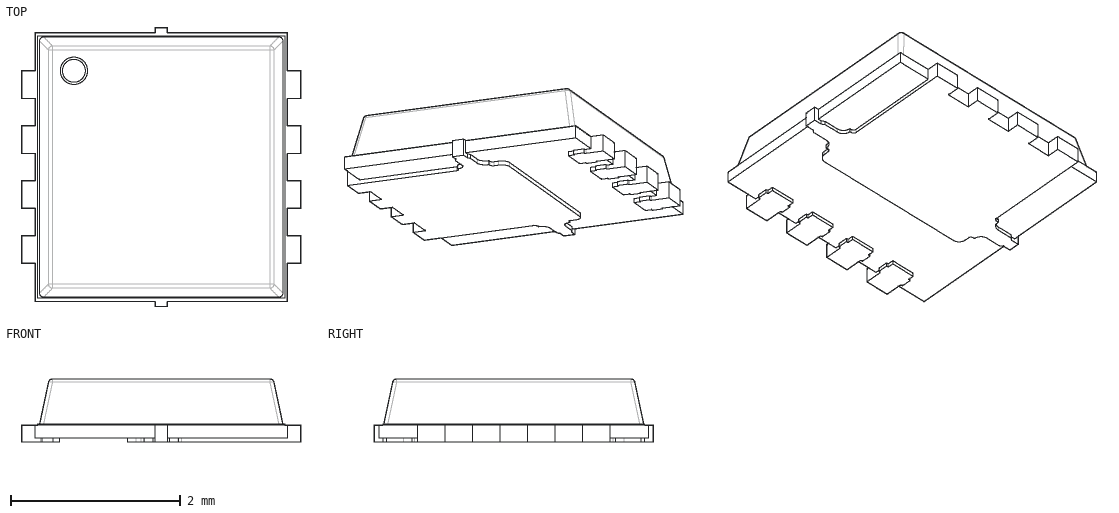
import cadquery as cq

OVERALL = 3.3
HEIGHT = 0.75
FRAME_TOP = 0.2
PAD_DROP = 0.05

SLAB_X = 2.983
SLAB_Y = 3.18

PLINTH_MARGIN_X = 0.03
PLINTH_MARGIN_Y = 0.043
PLINTH_HEIGHT = 0.013
CAP_MARGIN = 0.05
CAP_DRAFT = 12.0
CAP_ROUND = 0.05

DIMPLE_X = -1.033
DIMPLE_Y = 1.14
DIMPLE_RADIUS = 0.162
DIMPLE_FLOOR_RADIUS = 0.135
DIMPLE_DEPTH = 0.033

LEAD_COUNT = 4
LEAD_PITCH = 0.65
LEAD_WIDTH = 0.33
LEAD_INNER_END = -1.2
SHOULDER_START = -1.412
SHOULDER_END = -1.28
SHOULDER_STEP = 0.025
SHOULDER_ROUND = 0.013

PAD_LEFT = -0.4
PAD_CORNER_ROUND = 0.1
NECK_HALF_X = 0.205
NECK_STEP = 0.063
NECK_ROUND = 0.035
STEM_HALF_X = 0.1
STEM_ROUND = 0.1
STEM_END = 1.505
TIE_HALF_X = 0.073
TIE_START = 1.545

EDGE_REACH = 0.0015

lead_rows = [(i - (LEAD_COUNT - 1) / 2) * LEAD_PITCH for i in range(LEAD_COUNT)]
pad_half_y = lead_rows[-1] + LEAD_WIDTH / 2
neck_half_y = pad_half_y + NECK_STEP


def block(x_start, x_end, y_start, y_end, top):
    """Rectangular block standing on the seating plane."""
    size_x = x_end - x_start
    size_y = y_end - y_start
    return cq.Workplane("XY").box(size_x, size_y, top, centered=False).translate((x_start, y_start, 0))


def centred_plate(size_x, size_y, bottom, height, taper=0):
    """Rectangular plate centred on the Z axis."""
    return cq.Workplane("XY").workplane(offset=bottom).rect(size_x, size_y).extrude(height, taper=taper)


def round_upright_edges(body, x, y, radius):
    """Fillet the upright edges at (x, y) and at its mirror image (x, -y)."""
    for side in (-1, 1):
        low = (x - EDGE_REACH, side * y - EDGE_REACH, 0)
        high = (x + EDGE_REACH, side * y + EDGE_REACH, HEIGHT)
        body = body.edges("|Z").edges(cq.selectors.BoxSelector(low, high)).fillet(radius)
    return body


def make_body():
    """Slab carrying the plinth and the drafted cap with its rounded corners and top rim."""
    slab = centred_plate(SLAB_X, SLAB_Y, PAD_DROP, FRAME_TOP - PAD_DROP)
    plinth_x = SLAB_X - 2 * PLINTH_MARGIN_X
    plinth_y = SLAB_Y - 2 * PLINTH_MARGIN_Y
    plinth = centred_plate(plinth_x, plinth_y, FRAME_TOP, PLINTH_HEIGHT)
    cap_x = SLAB_X - 2 * CAP_MARGIN
    cap_y = SLAB_Y - 2 * CAP_MARGIN
    cap = centred_plate(cap_x, cap_y, FRAME_TOP, HEIGHT - FRAME_TOP, CAP_DRAFT)
    return slab.union(plinth).union(cap.edges("not <Z").fillet(CAP_ROUND))


def make_dimple():
    """Conical recess that marks pin one, narrowing to its floor."""
    floor = cq.Workplane("XY").workplane(offset=HEIGHT - DIMPLE_DEPTH)
    floor = floor.center(DIMPLE_X, DIMPLE_Y).circle(DIMPLE_FLOOR_RADIUS)
    return floor.workplane(offset=DIMPLE_DEPTH).circle(DIMPLE_RADIUS).loft()


def make_lead(y):
    """Lead whose foot widens into an anchoring shoulder under the slab."""
    half = LEAD_WIDTH / 2
    wide = half + SHOULDER_STEP
    foot = block(-OVERALL / 2, LEAD_INNER_END, -half, half, PAD_DROP)
    foot = foot.union(block(SHOULDER_START, SHOULDER_END, -wide, wide, PAD_DROP))
    foot = round_upright_edges(foot, SHOULDER_START, half, SHOULDER_ROUND)
    tip = block(-OVERALL / 2, -SLAB_X / 2, -half, half, FRAME_TOP)
    return foot.union(tip).translate((0, y, 0))


def make_finger(y):
    """Plain end of the thermal pad, thickened where it sticks out of the slab."""
    half = LEAD_WIDTH / 2
    return block(SLAB_X / 2, OVERALL / 2, y - half, y + half, FRAME_TOP)


def make_pad():
    """Thermal pad with its necks and tapered stems, as one flat plate."""
    pad = block(PAD_LEFT, SLAB_X / 2, -pad_half_y, pad_half_y, PAD_DROP)
    pad = round_upright_edges(pad, PAD_LEFT, pad_half_y, PAD_CORNER_ROUND)
    pad = pad.union(block(-NECK_HALF_X, NECK_HALF_X, -neck_half_y, neck_half_y, PAD_DROP))
    for side in (-1, 1):
        stem = cq.Workplane("XY").polyline([
            (-STEM_HALF_X, 0),
            (-STEM_HALF_X, side * STEM_END),
            (-TIE_HALF_X, side * TIE_START),
            (TIE_HALF_X, side * TIE_START),
            (STEM_HALF_X, side * STEM_END),
            (STEM_HALF_X, 0),
        ]).close().extrude(PAD_DROP)
        pad = pad.union(stem)
    for side in (-1, 1):
        pad = round_upright_edges(pad, side * NECK_HALF_X, pad_half_y, NECK_ROUND)
        pad = round_upright_edges(pad, side * STEM_HALF_X, neck_half_y, STEM_ROUND)
    return pad


result = make_body().cut(make_dimple()).union(make_pad())

for row in lead_rows:
    result = result.union(make_lead(row)).union(make_finger(row))

for side in (-1, 1):
    y_low, y_high = sorted((side * TIE_START, side * OVERALL / 2))
    result = result.union(block(-TIE_HALF_X, TIE_HALF_X, y_low, y_high, FRAME_TOP))